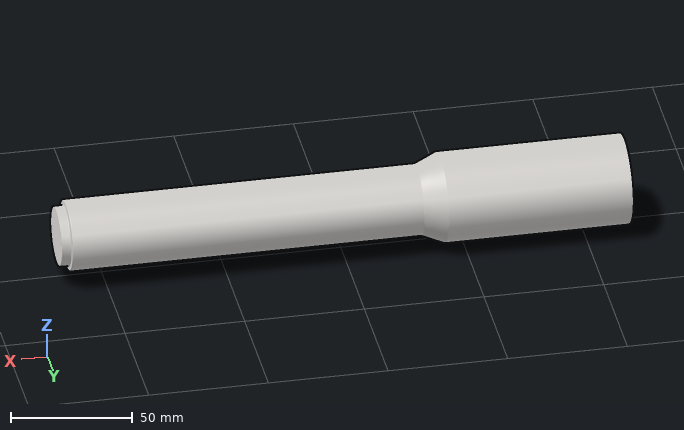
import cadquery as cq

total_length = 237.7
head_diameter = 38.0
tube_diameter = 30.0
spigot_diameter = 25.2

head_length = 77.3
taper_length = 9.3
spigot_length = 4.0

recess_diameter = 35.0
recess_depth = 2.5

end_radius = 0.25
taper_radius = 1.0
shoulder_radius = 0.5

selection_margin = 0.01

taper_end = head_length + taper_length
tube_end = total_length - spigot_length


def make_body():
    """Revolve the stepped half-profile about the X axis."""
    profile = (
        cq.Workplane("XZ")
        .moveTo(0, 0)
        .lineTo(0, head_diameter / 2)
        .lineTo(head_length, head_diameter / 2)
        .lineTo(taper_end, tube_diameter / 2)
        .lineTo(tube_end, tube_diameter / 2)
        .lineTo(tube_end, spigot_diameter / 2)
        .lineTo(total_length, spigot_diameter / 2)
        .lineTo(total_length, 0)
        .close()
    )
    return profile.revolve(360, (0, 0, 0), (1, 0, 0))


def round_edge(body, x, diameter, radius):
    """Fillet the circular edge of the given diameter that lies in the plane at x."""
    reach = diameter / 2 + selection_margin
    near_corner = (x - selection_margin, -reach, -reach)
    far_corner = (x + selection_margin, reach, reach)
    band = cq.selectors.BoxSelector(near_corner, far_corner, boundingbox=True)
    largest = cq.selectors.RadiusNthSelector(-1)
    return body.edges("%CIRCLE").edges(band).edges(largest).fillet(radius)


def make_recess():
    """Disc that sinks the head's end face, at X = 0."""
    return cq.Workplane("YZ").circle(recess_diameter / 2).extrude(recess_depth)


rounded_edges = [
    (0, head_diameter, end_radius),
    (head_length, head_diameter, taper_radius),
    (taper_end, tube_diameter, taper_radius),
    (tube_end, tube_diameter, shoulder_radius),
    (tube_end, spigot_diameter, shoulder_radius),
    (total_length, spigot_diameter, end_radius),
]

result = make_body()
for edge_x, edge_diameter, fillet_radius in rounded_edges:
    result = round_edge(result, edge_x, edge_diameter, fillet_radius)
result = result.cut(make_recess())